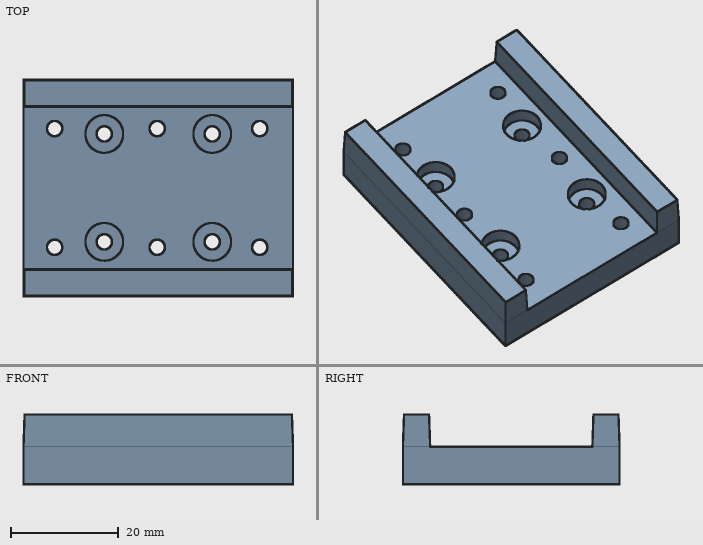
import cadquery as cq

length = 50.0
width = 40.2
base_height = 7.0

rail_height = 6.0
channel_width = 30.0
rail_width = (width - channel_width) / 2
rail_draft_angle = 2.0

hole_diameter = 2.8
through_columns = 3
through_rows = 2
through_pitch_x = 19.0
through_pitch_y = 22.0
through_offset_x = -0.2

counterbore_diameter = 7.0
counterbore_depth = 3.0
counterbore_columns = 2
counterbore_rows = 2
counterbore_pitch = 20.0


def make_base():
    return cq.Workplane("XY").box(length, width, base_height, centered=(True, True, False))


def drill_through_holes(plate):
    return (
        plate.faces(">Z")
        .workplane(origin=(through_offset_x, 0, 0))
        .rarray(through_pitch_x, through_pitch_y, through_columns, through_rows)
        .hole(hole_diameter)
    )


def drill_counterbored_holes(plate):
    return (
        plate.faces(">Z")
        .workplane(origin=(0, 0, 0))
        .rarray(counterbore_pitch, counterbore_pitch, counterbore_columns, counterbore_rows)
        .cboreHole(hole_diameter, counterbore_diameter, counterbore_depth)
    )


def make_rail(side):
    """Rail along one long edge, drafted on all four sides; side is +1 or -1 in Y."""
    center_y = side * (width - rail_width) / 2
    return (
        cq.Workplane("XY", origin=(0, center_y, base_height))
        .rect(length, rail_width)
        .extrude(rail_height, taper=rail_draft_angle)
    )


result = make_base()
result = drill_through_holes(result)
result = drill_counterbored_holes(result)
for rail_side in (-1, 1):
    result = result.union(make_rail(rail_side))